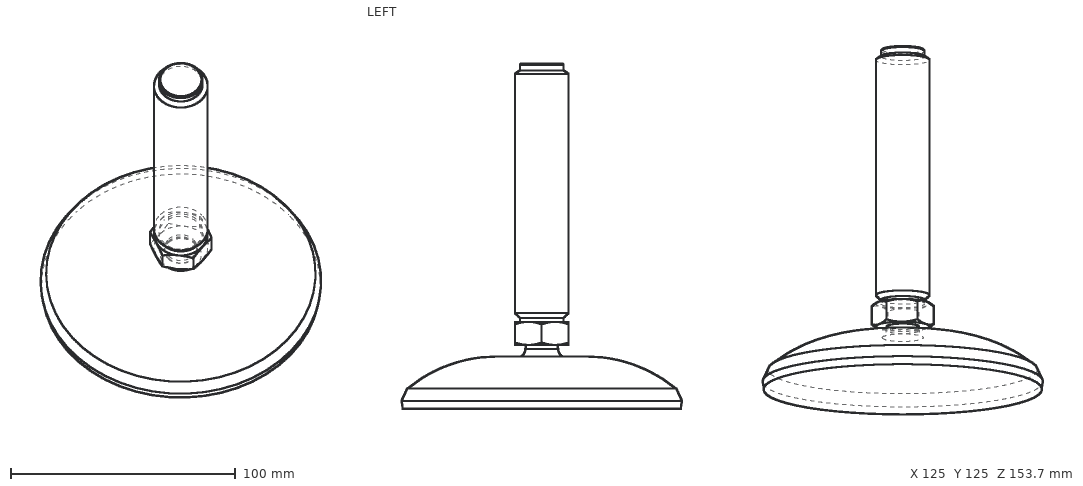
import cadquery as cq
import math

total_height = 153.7
rim_bottom_edge = 0.9
rim_widest_bottom = 3.5
rim_top = 9.0
dome_bottom = 9.4
dome_top = 23.4
flare_top = 26.6
nut_bottom = 28.5
nut_top = 38.7
collar_top = 40.4
thread_bottom = 42.5

foot_diameter = 125.0
underside_diameter = 124.0
rim_top_diameter = 119.9
dome_diameter = 118.6
flat_diameter = 40.0

flare_base_diameter = 18.3
flare_top_diameter = 14.8
neck_diameter = 14.3

nut_sides = 6
across_flats = 24.0
nut_chamfer_angle = 30.0
thread_diameter = 24.0
tip_diameter = 19.5
tip_chamfer = 0.6
tip_length = 3.0
thread_chamfer_length = 1.5
collar_diameter = 19.5


def revolve_about_z(outline):
    """Solid of revolution of a half outline that starts and ends on the Z axis."""
    return outline.close().revolve(360, (0, 0, 0), (0, 1, 0))


def make_foot():
    run = (dome_diameter - flat_diameter) / 2
    drop = dome_top - dome_bottom
    dome_radius = (run**2 + drop**2) / (2 * drop)
    half_sweep = math.asin(run / dome_radius) / 2
    dome_middle = (
        flat_diameter / 2 + dome_radius * math.sin(half_sweep),
        dome_top - dome_radius * (1 - math.cos(half_sweep)),
    )
    outline = (
        cq.Workplane("XZ")
        .lineTo(underside_diameter / 2, 0)
        .lineTo(underside_diameter / 2, rim_bottom_edge)
        .lineTo(foot_diameter / 2, rim_widest_bottom)
        .lineTo(rim_top_diameter / 2, rim_top)
        .lineTo(dome_diameter / 2, dome_bottom)
        .threePointArc(dome_middle, (flat_diameter / 2, dome_top))
        .lineTo(0, dome_top)
    )
    return revolve_about_z(outline)


def make_stud():
    tip_bottom = total_height - tip_length

    spread = (flare_base_diameter - flare_top_diameter) / 2
    drop = flare_top - dome_top
    flare_radius = (spread**2 + drop**2) / (2 * spread)
    half_sweep = math.asin(drop / flare_radius) / 2
    flare_middle = (
        flare_top_diameter / 2 + flare_radius * (1 - math.cos(half_sweep)),
        flare_top - flare_radius * math.sin(half_sweep),
    )

    outline = (
        cq.Workplane("XZ")
        .moveTo(0, dome_top)
        .lineTo(flare_base_diameter / 2, dome_top)
        .threePointArc(flare_middle, (flare_top_diameter / 2, flare_top))
        .lineTo(neck_diameter / 2, flare_top)
        .lineTo(neck_diameter / 2, nut_top)
        .lineTo(collar_diameter / 2, nut_top)
        .lineTo(collar_diameter / 2, collar_top)
        .lineTo(thread_diameter / 2, thread_bottom)
        .lineTo(thread_diameter / 2, tip_bottom - thread_chamfer_length)
        .lineTo(tip_diameter / 2, tip_bottom)
        .lineTo(tip_diameter / 2, total_height - tip_chamfer)
        .lineTo(tip_diameter / 2 - tip_chamfer, total_height)
        .lineTo(0, total_height)
    )
    return revolve_about_z(outline)


def make_nut():
    """Hexagon with corners on the X axis, its corners trimmed by a cone at both ends."""
    across_corners = across_flats / math.cos(math.pi / nut_sides)
    corner_drop = (across_corners - across_flats) / 2 * math.tan(math.radians(nut_chamfer_angle))
    hexagon = (
        cq.Workplane("XY")
        .workplane(offset=nut_bottom)
        .polygon(nut_sides, across_corners)
        .extrude(nut_top - nut_bottom)
    )
    trim_outline = (
        cq.Workplane("XZ")
        .moveTo(0, nut_bottom)
        .lineTo(across_flats / 2, nut_bottom)
        .lineTo(across_corners / 2, nut_bottom + corner_drop)
        .lineTo(across_corners / 2, nut_top - corner_drop)
        .lineTo(across_flats / 2, nut_top)
        .lineTo(0, nut_top)
    )
    return hexagon.intersect(revolve_about_z(trim_outline))


result = make_foot().union(make_stud()).union(make_nut())